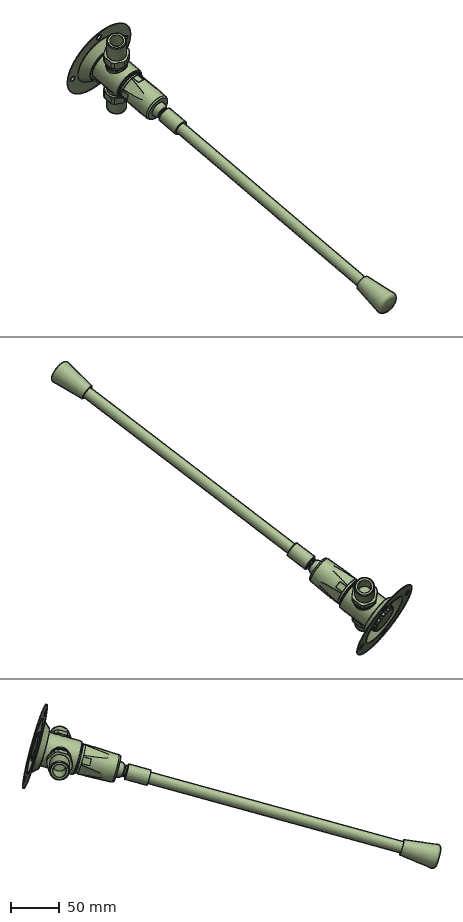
import cadquery as cq
import math


flange_dia = 90.0
sheet = 0.7
dish_mouth_dia = 59.4
dish_floor_dia = 41.0
dish_floor_outer_dia = 43.4
dish_depth = 9.7
screw_hole_dia = 6.5
screw_circle_dia = 75.0
screw_count = 4

body_dia = 36.0
body_back = 6.0
body_front = 45.6
body_chamfer_length = 2.0
body_chamfer_height = 0.4
plug_dia = 32.0
plug_face_dia = 29.0
plug_chamfer = (plug_dia - plug_face_dia) / 2
plug_notch_count = 12
plug_notch_width = 4.0
plug_notch_floor_dia = 29.5

outlet_x = 26.6
outlet_tip = 58.0
outlet_dia = 20.6
outlet_tip_chamfer = 1.0
outlet_bore_dia = 14.0
outlet_bore_depth = 20.0
neck_foot_chamfer = 1.0
neck_foot_dia = 22.8
neck_foot_top = 19.2
nut_bottom = 25.4
nut_top = 36.0
nut_flats = 25.0
nut_corner_dia = 27.0
nut_chamfer = 1.0
nut_turn = 30.0

collar_dia = 32.0
collar_front = 47.5
collar_groove_dia = 30.6
collar_notch_count = 24
collar_notch_width = 2.0
collar_notch_floor_dia = 29.5

hub_back = 50.0
hub_front = 88.3
hub_back_dia = 32.2
hub_front_dia = 29.5
hub_end_dia = 27.6
hub_chamfer_length = 2.0
facet_count = 4
facet_start_angle = 30.0
facet_back_offset = 14.4
facet_tip_x = 79.0
facet_tip_offset = 15.05
recess_end = 58.6
recess_width = 7.2
recess_offset = 15.3

stem_dia = 16.8
stem_bulge_x = 91.6
stem_bulge_dia = 16.4
stem_end = 94.9
stem_groove_dia = 11.0
stem_groove_back = 95.8
stem_groove_front = 97.4
rod_dia = 12.3
coupling_back = 98.5
coupling_front = 122.3
coupling_dia = 16.6
knob_back = 393.4
knob_back_dia = 16.6
knob_rim = 426.4
knob_dia = 25.0
knob_end_dia = 17.0
knob_end = 432.6
overall_length = 433.34
knob_bulge = 1.4


def turned(points):
    """Solid of revolution about X from (x, diameter) points."""
    outline = [(x, dia / 2) for x, dia in points]
    outline = [(points[0][0], 0)] + outline + [(points[-1][0], 0)]
    return cq.Workplane("XY").polyline(outline).close().revolve(360, (0, 0, 0), (1, 0, 0))


def around_axis(shape, angle):
    """Turn a shape about the main axis."""
    return shape.rotate((0, 0, 0), (1, 0, 0), angle)


def notched(ring, start, end, count, width, floor_dia):
    """Cut evenly spaced straight notches into the rim of a ring."""
    notch = (
        cq.Workplane("YZ", origin=(start, 0, 0))
        .center(0, floor_dia / 2 + body_dia / 2)
        .rect(width, body_dia)
        .extrude(end - start)
    )
    for index in range(count):
        ring = ring.cut(around_axis(notch, index * 360 / count))
    return ring


def make_flange():
    slope = math.atan2(dish_depth - sheet, (dish_mouth_dia - dish_floor_dia) / 2)
    corner = sheet * math.tan(slope / 2)
    mouth_radius = dish_mouth_dia / 2
    floor_radius = dish_floor_dia / 2
    outline = [
        (0, flange_dia / 2),
        (sheet, flange_dia / 2),
        (sheet, mouth_radius + corner),
        (dish_depth, dish_floor_outer_dia / 2),
        (dish_depth, body_dia / 2),
        (dish_depth - sheet, body_dia / 2),
        (dish_depth - sheet, floor_radius),
        (0, mouth_radius),
    ]
    plate = cq.Workplane("XY").polyline(outline).close().revolve(360, (0, 0, 0), (1, 0, 0))
    holes = (
        cq.Workplane("YZ")
        .polarArray(screw_circle_dia / 2, 0, 360, screw_count)
        .circle(screw_hole_dia / 2)
        .extrude(sheet)
    )
    return plate.cut(holes)


def make_body():
    body = turned([
        (body_back, body_dia),
        (body_front - body_chamfer_length, body_dia),
        (body_front, body_dia - 2 * body_chamfer_height),
    ])
    plug = turned([
        (0, plug_face_dia),
        (plug_chamfer, plug_dia),
        (body_back, plug_dia),
    ])
    plug = notched(plug, 0, body_back, plug_notch_count, plug_notch_width, plug_notch_floor_dia)
    return body.union(plug)


def make_collar():
    collar = turned([
        (body_front, collar_dia),
        (collar_front, collar_dia),
        (collar_front, collar_groove_dia),
        (hub_back, collar_groove_dia),
    ])
    return notched(
        collar, body_front, collar_front, collar_notch_count, collar_notch_width, collar_notch_floor_dia
    )


def make_outlet():
    """Upward outlet built along +Z from the main axis."""
    foot = (
        cq.Workplane("XY")
        .circle(neck_foot_dia / 2)
        .extrude(neck_foot_top)
        .faces(">Z")
        .chamfer(neck_foot_chamfer)
    )
    pipe = (
        cq.Workplane("XY")
        .circle(outlet_dia / 2)
        .extrude(outlet_tip)
        .faces(">Z")
        .chamfer(outlet_tip_chamfer)
    )
    blank = (
        cq.Workplane("XY", origin=(0, 0, nut_bottom))
        .circle(nut_corner_dia / 2)
        .extrude(nut_top - nut_bottom)
        .faces("<Z")
        .chamfer(nut_chamfer)
    )
    hexagon = (
        cq.Workplane("XY", origin=(0, 0, nut_bottom))
        .polygon(6, nut_flats, circumscribed=True)
        .extrude(nut_top - nut_bottom)
        .rotate((0, 0, 0), (0, 0, 1), nut_turn)
    )
    bore = (
        cq.Workplane("XY", origin=(0, 0, outlet_tip - outlet_bore_depth))
        .circle(outlet_bore_dia / 2)
        .extrude(outlet_bore_depth)
    )
    outlet = foot.union(pipe).union(blank.intersect(hexagon)).cut(bore)
    return outlet.translate((outlet_x, 0, 0))


def make_hub():
    """Tapered hub with sloping flats and a shallow recess between each pair of flats."""
    hub = turned([
        (hub_back, hub_back_dia),
        (hub_front - hub_chamfer_length, hub_front_dia),
        (hub_front, hub_end_dia),
    ])
    facet = (
        cq.Workplane("XZ")
        .polyline([
            (hub_back, facet_back_offset),
            (facet_tip_x, facet_tip_offset),
            (facet_tip_x, hub_back_dia),
            (hub_back, hub_back_dia),
        ])
        .close()
        .extrude(hub_back_dia / 2, both=True)
    )
    recess = (
        cq.Workplane("XY", origin=(hub_back, 0, recess_offset))
        .box(recess_end - hub_back, recess_width, hub_back_dia, centered=(False, True, False))
    )
    pitch = 360 / facet_count
    for index in range(facet_count):
        angle = facet_start_angle + index * pitch
        hub = hub.cut(around_axis(facet, angle))
        hub = hub.cut(around_axis(recess, angle + pitch / 2))
    return hub


def make_lever():
    """Rounded stem, grooved neck, coupling, rod and flared end knob."""
    stem = (
        cq.Workplane("XY")
        .moveTo(hub_front, 0)
        .lineTo(hub_front, stem_dia / 2)
        .threePointArc((stem_bulge_x, stem_bulge_dia / 2), (stem_end, rod_dia / 2))
        .lineTo(stem_end, 0)
        .close()
        .revolve(360, (0, 0, 0), (1, 0, 0))
    )
    rod = turned([
        (stem_end, rod_dia),
        (stem_groove_back, rod_dia),
        (stem_groove_back, stem_groove_dia),
        (stem_groove_front, stem_groove_dia),
        (stem_groove_front, rod_dia),
        (coupling_back, rod_dia),
        (coupling_back, coupling_dia),
        (coupling_front, coupling_dia),
        (coupling_front, rod_dia),
        (knob_back, rod_dia),
    ])
    rim_mid = ((knob_rim + knob_end) / 2 + knob_bulge, (knob_dia + knob_end_dia) / 4 + knob_bulge)
    knob = (
        cq.Workplane("XY")
        .moveTo(knob_back, 0)
        .lineTo(knob_back, knob_back_dia / 2)
        .lineTo(knob_rim, knob_dia / 2)
        .threePointArc(rim_mid, (knob_end, knob_end_dia / 2))
        .lineTo(overall_length, 0)
        .close()
        .revolve(360, (0, 0, 0), (1, 0, 0))
    )
    return stem.union(rod).union(knob)


outlet = make_outlet()
result = make_flange().union(make_body())
result = result.union(outlet).union(around_axis(outlet, 180))
result = result.union(make_collar()).union(make_hub()).union(make_lever())